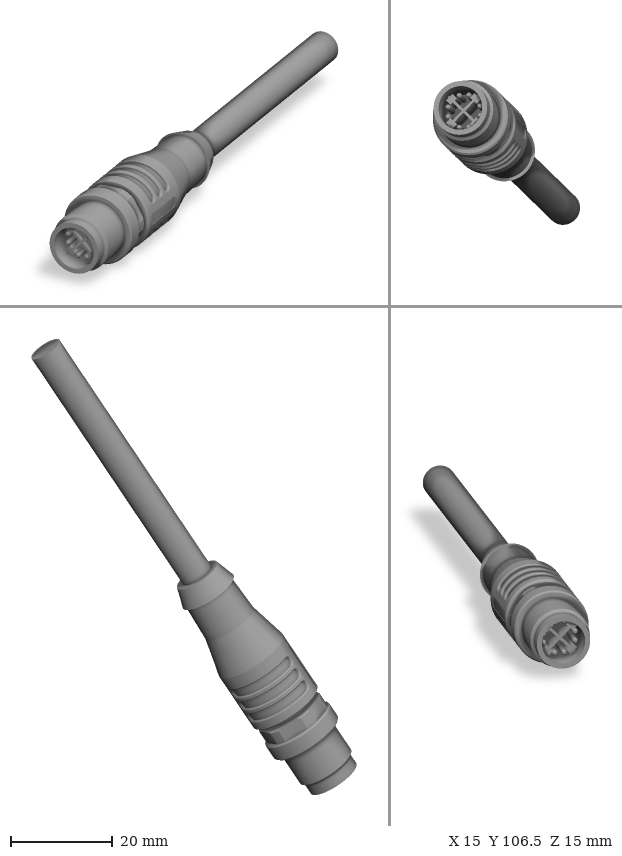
import cadquery as cq
import math


NOSE_END = 2.3
THREAD_START = 3.0
RING_START = 10.0
RING_END = 13.6
HEX_END = 16.5
GRIP_START = 17.5
GRIP_END = 30.6
TAPER_END = 38.5
COLLAR_START = 46.3
COLLAR_END = 50.5
CABLE_END = 106.5

CABLE_RADIUS = 6.6 / 2
NOSE_RADIUS = 10.8 / 2
THREAD_RADIUS = 12.0 / 2
GRIP_RADIUS = 15.0 / 2
NECK_RADIUS = 4.8
TAPER_END_RADIUS = 5.6
BOOT_END_RADIUS = 5.3
COLLAR_LARGE_RADIUS = 6.0
COLLAR_SMALL_RADIUS = 4.7
GRIP_EDGE_CHAMFER = 0.4
RING_CHAMFER = 0.3

HEX_ACROSS_FLATS = 13.1
HEX_CORNER_RADIUS = 7.0
HEX_EDGE_CHAMFER = 0.2

GROOVE_COUNT = 3
GROOVE_WIDTH = 1.9
GROOVE_PITCH = 3.0
GROOVE_MIDDLE = 23.7
GROOVE_DEPTH = 0.5
GROOVE_LOWEST = 3.0
GROOVE_EDGE_CHAMFER = 0.2

PANEL_LENGTH = 10.1
PANEL_HEIGHT = 2.3
PANEL_CORNER = 0.7
PANEL_DEPTH = 0.2

BORE_RADIUS = 4.4
BORE_DEPTH = 8.5
SHIELD_FRONT = 3.2
SHIELD_THICKNESS = 0.5
SHIELD_END_WIDTH = 1.8
SHIELD_END_THICKNESS = 1.3
SHIELD_END_RADIUS = 4.0
PIN_FRONT = 3.2
PIN_DIAMETER = 1.1
PIN_TIP_DIAMETER = 0.6
PIN_TIP_LENGTH = 0.4
PIN_PAIR_SPACING = 1.9
PIN_PAIR_OFFSET = 3.2

MARK_DIAMETER = 0.6
MARK_OFFSET = 1.9
MARK_DEPTH = 0.5

CUT_CLEARANCE = 1.1
ON_SURFACE_TOLERANCE = 0.001

QUARTER_TURNS = (0, 90, 180, 270)


def cylinder_along_y(radius, start, end):
    return cq.Workplane("XZ", origin=(0, start, 0)).circle(radius).extrude(start - end)


def spin_about_y(shape, angle):
    return shape.rotate((0, 0, 0), (0, 1, 0), angle)


def turned_body():
    front_outline = [
        (0, 0),
        (NOSE_RADIUS, 0),
        (NOSE_RADIUS, NOSE_END),
        (THREAD_RADIUS, THREAD_START),
        (THREAD_RADIUS, RING_START),
        (GRIP_RADIUS - RING_CHAMFER, RING_START),
        (GRIP_RADIUS, RING_START + RING_CHAMFER),
        (GRIP_RADIUS, RING_END - RING_CHAMFER),
        (GRIP_RADIUS - RING_CHAMFER, RING_END),
        (NECK_RADIUS, RING_END),
        (NECK_RADIUS, GRIP_START),
        (GRIP_RADIUS - GRIP_EDGE_CHAMFER, GRIP_START),
    ]
    rear_outline = [
        (GRIP_RADIUS, GRIP_START + GRIP_EDGE_CHAMFER),
        (GRIP_RADIUS, GRIP_END),
        (TAPER_END_RADIUS, TAPER_END),
        (BOOT_END_RADIUS, COLLAR_START),
        (COLLAR_LARGE_RADIUS, COLLAR_START),
        (COLLAR_SMALL_RADIUS, COLLAR_END),
        (CABLE_RADIUS, COLLAR_END),
        (CABLE_RADIUS, CABLE_END),
        (0, CABLE_END),
    ]
    profile = cq.Workplane("XY").polyline(front_outline + rear_outline)
    return profile.close().revolve(360, (0, 0, 0), (0, 1, 0))


def nut_hexagon():
    corner_diameter = HEX_ACROSS_FLATS / math.cos(math.radians(30))
    length = HEX_END - RING_END
    hexagon = cq.Workplane("XZ", origin=(0, RING_END, 0)).polygon(6, corner_diameter).extrude(-length)
    rounding = cylinder_along_y(HEX_CORNER_RADIUS, RING_END, HEX_END).faces(">Y").chamfer(HEX_EDGE_CHAMFER)
    return hexagon.intersect(rounding)


def finger_grooves():
    skin = cylinder_along_y(GRIP_RADIUS + CUT_CLEARANCE, GRIP_START, GRIP_END)
    skin = skin.cut(cylinder_along_y(GRIP_RADIUS - GROOVE_DEPTH, GRIP_START, GRIP_END))
    slot_length = 2 * GRIP_RADIUS
    slot_centre = GROOVE_LOWEST + slot_length / 2
    places = []
    for index in range(GROOVE_COUNT):
        along = GROOVE_MIDDLE + (index - (GROOVE_COUNT - 1) / 2) * GROOVE_PITCH
        places.append((along, slot_centre))
        places.append((along, -slot_centre))
    slots = cq.Workplane("YZ").pushPoints(places).slot2D(slot_length, GROOVE_WIDTH, 90)
    return slots.extrude(GRIP_RADIUS, both=True).intersect(skin)


def is_groove_rim(edge):
    along = edge.Center().y
    on_surface = all(
        abs(math.hypot(point.x, point.z) - GRIP_RADIUS) < ON_SURFACE_TOLERANCE
        for point in edge.positions((0, 0.25, 0.5, 0.75, 1))
    )
    return on_surface and abs(along - GROOVE_MIDDLE) < GROOVE_COUNT * GROOVE_PITCH / 2


def side_panel(side):
    floor = side * (GRIP_RADIUS - PANEL_DEPTH)
    panel = cq.Workplane("YZ", origin=(floor, GROOVE_MIDDLE, 0)).rect(PANEL_LENGTH, PANEL_HEIGHT)
    return panel.extrude(side * (PANEL_DEPTH + CUT_CLEARANCE)).edges("|X").fillet(PANEL_CORNER)


def shield_cross():
    length = BORE_DEPTH - SHIELD_FRONT
    middle = SHIELD_FRONT + length / 2
    cross = cq.Workplane("XY").box(2 * BORE_RADIUS, length, SHIELD_THICKNESS)
    cross = cross.union(spin_about_y(cross, 90))
    end_plate = cq.Workplane("XY").box(SHIELD_END_THICKNESS, length, SHIELD_END_WIDTH)
    end_plate = end_plate.translate((SHIELD_END_RADIUS - SHIELD_END_THICKNESS / 2, 0, 0))
    for angle in QUARTER_TURNS:
        cross = cross.union(spin_about_y(end_plate, angle))
    cross = spin_about_y(cross, 45).translate((0, middle, 0))
    return cross.intersect(cylinder_along_y(NOSE_RADIUS, SHIELD_FRONT, BORE_DEPTH))


def contact_pin(x, z):
    tip_radius = PIN_TIP_DIAMETER / 2
    pin_radius = PIN_DIAMETER / 2
    outline = [
        (0, PIN_FRONT),
        (tip_radius, PIN_FRONT),
        (pin_radius, PIN_FRONT + PIN_TIP_LENGTH),
        (pin_radius, BORE_DEPTH),
        (0, BORE_DEPTH),
    ]
    pin = cq.Workplane("XY").polyline(outline).close().revolve(360, (0, 0, 0), (0, 1, 0))
    return pin.translate((x, 0, z))


result = turned_body().union(nut_hexagon()).cut(finger_grooves())
result = result.edges().filter(is_groove_rim).chamfer(GROOVE_EDGE_CHAMFER)
for side in (-1, 1):
    result = result.cut(side_panel(side))

result = result.cut(cylinder_along_y(BORE_RADIUS, 0, BORE_DEPTH)).union(shield_cross())
for angle in QUARTER_TURNS:
    for x in (-PIN_PAIR_SPACING / 2, PIN_PAIR_SPACING / 2):
        result = result.union(spin_about_y(contact_pin(x, PIN_PAIR_OFFSET), angle))

mark = cylinder_along_y(MARK_DIAMETER / 2, BORE_DEPTH, BORE_DEPTH + MARK_DEPTH)
result = result.cut(mark.translate((MARK_OFFSET, 0, 0)))